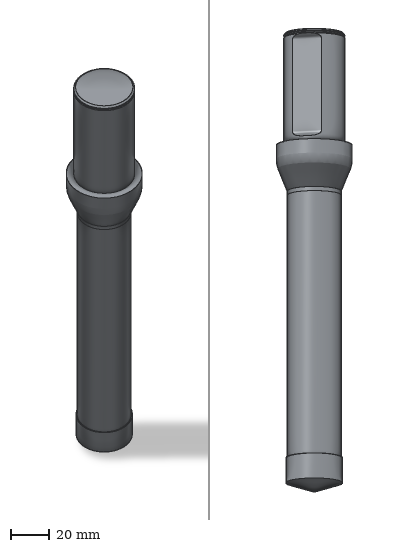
import cadquery as cq
import math

total_length = 245.0
step_height = 18.4
split_height = 158.5
cone_end_height = 160.7
collar_edge_height = 177.6
collar_top_height = 185.2

shank_radius = 32.0 / 2
collar_radius = 40.0 / 2
neck_radius = 28.5 / 2
tip_radius = 29.6 / 2

point_angle = math.radians(143)
point_height = tip_radius / math.tan(point_angle / 2)

cone_angle = math.radians(22)
cone_height = collar_edge_height - cone_end_height
cone_drop = collar_radius - neck_radius
blend_radius = (cone_height * math.tan(cone_angle) - cone_drop) / (1 / math.cos(cone_angle) - 1)

chamfer_size = 1.0

groove_height = 243.0
groove_width = 1.2
groove_depth = 0.2

flat_offset = 14.0
flat_bottom = 190.5
flat_top = 239.5
flat_end_radius = 6.4 / 2


def blend_point(angle):
    """Radius and height on the collar blend, at an angle below its centre's level."""
    centre = collar_radius - blend_radius
    return (
        centre + blend_radius * math.cos(angle),
        collar_edge_height - blend_radius * math.sin(angle),
    )


def make_holder():
    """Grooved shank, collar and tapered neck, turned about Z, with a clamping flat."""
    turned = (
        cq.Workplane("XZ")
        .moveTo(0, split_height)
        .lineTo(neck_radius, split_height)
        .lineTo(neck_radius, cone_end_height)
        .lineTo(*blend_point(cone_angle))
        .threePointArc(blend_point(cone_angle / 2), blend_point(0))
        .lineTo(collar_radius, collar_top_height)
        .lineTo(shank_radius, collar_top_height)
        .lineTo(shank_radius, groove_height - groove_width / 2)
        .lineTo(shank_radius - groove_depth, groove_height)
        .lineTo(shank_radius, groove_height + groove_width / 2)
        .lineTo(shank_radius, total_length - chamfer_size)
        .lineTo(shank_radius - chamfer_size, total_length)
        .lineTo(0, total_length)
        .close()
        .revolve(360, (0, 0), (0, 1))
    )
    return turned.cut(make_flat_cutter())


def make_flat_cutter():
    """Block for the clamping flat; its rounded lower edges leave the concave ends."""
    depth = 2 * flat_end_radius
    return (
        cq.Workplane("XY")
        .box(2 * shank_radius, depth, flat_top - flat_bottom + 2 * flat_end_radius)
        .edges("<Y and |X")
        .fillet(flat_end_radius)
        .translate((0, flat_offset + depth / 2, (flat_top + flat_bottom) / 2))
    )


def make_drill():
    """Drill body with a wider pointed tip, turned about Z."""
    return (
        cq.Workplane("XZ")
        .lineTo(tip_radius, point_height)
        .lineTo(tip_radius, step_height)
        .lineTo(neck_radius, step_height)
        .lineTo(neck_radius, split_height)
        .lineTo(0, split_height)
        .close()
        .revolve(360, (0, 0), (0, 1))
    )


holder = make_holder()
drill = make_drill()
result = cq.Compound.makeCompound([holder.val(), drill.val()])